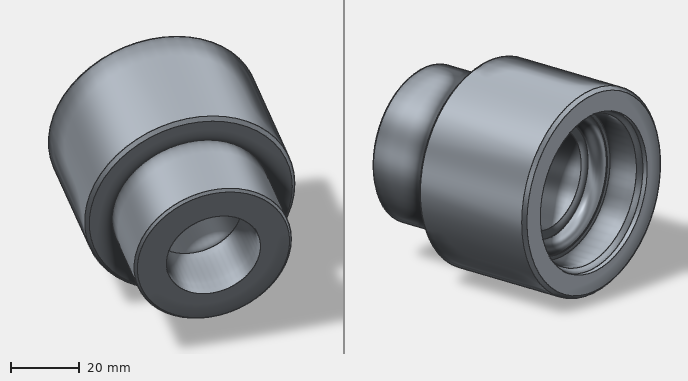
import cadquery as cq

total_length = 63.9
collar_length = 40.1
collar_diameter = 63.5
collar_chamfer = 1.1
spigot_diameter = 47.5
spigot_chamfer = 0.75

mouth_diameter = 49.0
mouth_depth = 1.6
socket_diameter = 46.3
socket_depth = 12.8
bead_seat_diameter = 43.9
shoulder_depth = 17.4
bore_diameter = 31.0
outlet_diameter = 28.4
outlet_length = 19.15

bead_inner_diameter = 34.8
bead_outer_diameter = 45.5
bead_depth = 15.1


def cylinder(diameter, start, length):
    """Solid cylinder along X."""
    return cq.Workplane("YZ", origin=(start, 0, 0)).circle(diameter / 2).extrude(length)


def make_body():
    collar = cylinder(collar_diameter, 0, collar_length).edges().chamfer(collar_chamfer)
    spigot = cylinder(spigot_diameter, 0, total_length).faces(">X").edges().chamfer(spigot_chamfer)
    return collar.union(spigot)


def make_mouth():
    """Entry recess with a 45-degree lead-in to the socket."""
    lead_in = (mouth_diameter - socket_diameter) / 2
    return cylinder(mouth_diameter, 0, mouth_depth + lead_in).faces(">X").edges().chamfer(lead_in)


def make_bead():
    """Ring of circular section, revolved about the part axis."""
    section_radius = (bead_outer_diameter - bead_inner_diameter) / 4
    centre_radius = (bead_outer_diameter + bead_inner_diameter) / 4
    section = cq.Workplane("XY").moveTo(bead_depth, centre_radius).circle(section_radius)
    return section.revolve(360, (0, 0), (1, 0))


result = (
    make_body()
    .cut(make_mouth())
    .cut(cylinder(socket_diameter, 0, socket_depth))
    .cut(cylinder(bead_seat_diameter, 0, shoulder_depth))
    .cut(cylinder(bore_diameter, 0, total_length - outlet_length))
    .cut(cylinder(outlet_diameter, 0, total_length))
    .union(make_bead())
)